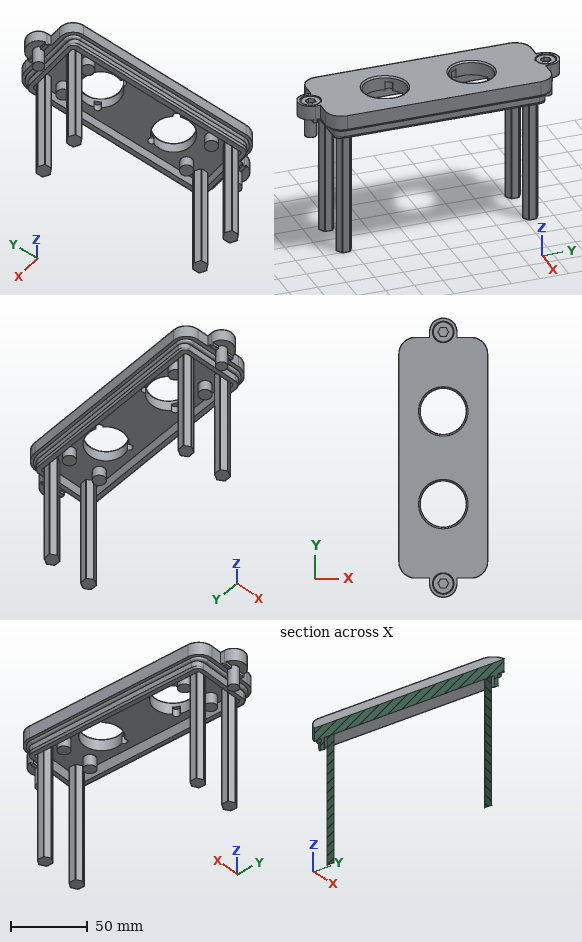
import cadquery as cq
import math


plate_width = 58.0
plate_length = 157.0
plate_thickness = 10.0
plate_corner_radius = 11.1

overall_length = 182.0
lug_width = 18.0
lug_radius = lug_width / 2
lug_y = overall_length / 2 - lug_radius
lug_rib_thickness = 2.5
lug_rib_depth = 2.2

opening_diameter = 30.0
opening_chamfer = 1.1
opening_chamfer_angle = 45
opening_y = 30.2

rim_width = 51.3
rim_length = 146.9
rim_height = 8.5
rim_corner_radius = 5.6
rim_bevel_width = 1.1
rim_bevel_height = 1.6
pocket_width = 42.2
pocket_length = 140.5
pocket_corner_radius = 1.8

boss_diameter = 9.3
boss_x = 13.1
boss_y = 51.3
blind_hole_diameter = 5.1
blind_hole_depth = 6.0
blind_hole_x = boss_x
blind_hole_y = 22.4

seal_cord_radius = 1.6
seal_width = 54.2
seal_length = 152.3
seal_corner_radius = 8.4
seal_z = -11.1

screw_head_diameter = 13.0
screw_head_height = 8.0
screw_recess = 0.5
screw_shank_diameter = 8.0
screw_shank_length = 17.0
socket_across_flats = 6.0
socket_depth = 2.7
counterbore_diameter = 14.0
counterbore_depth = screw_recess + screw_head_height

leg_across_flats = 9.3
leg_across_corners = 10.4
leg_x = 16.0
leg_y = 65.0
leg_top = -plate_thickness
leg_bottom = -105.0

ENDS = (-1, 1)
lug_points = [(0, side * lug_y) for side in ENDS]
opening_points = [(0, side * opening_y) for side in ENDS]


def four_corners(x, y):
    """Points mirrored about both the X and Y axes."""
    return [(sx * x, sy * y) for sx in ENDS for sy in ENDS]


def hexagon_diameter(across_flats):
    """Corner-to-corner diameter of a regular hexagon."""
    return across_flats / math.cos(math.pi / 6)


def rounded_block(width, length, corner_radius, top, height):
    """Block with rounded vertical edges that hangs down from the height top."""
    block = cq.Workplane("XY", origin=(0, 0, top)).rect(width, length).extrude(-height)
    return block.edges("|Z").fillet(corner_radius)


def cylinders(points, diameter, top, depth):
    """Equal upright cylinders that hang down from the height top."""
    base = cq.Workplane("XY", origin=(0, 0, top)).pushPoints(points)
    return base.circle(diameter / 2).extrude(-depth)


def make_lugs(depth):
    """Round-ended lugs on both ends of the plate, from its top face down to a depth."""
    lug_reach = lug_y - opening_y
    round_ends = cylinders(lug_points, lug_width, 0, depth)
    necks = (
        cq.Workplane("XY")
        .pushPoints([(0, side * (lug_y - lug_reach / 2)) for side in ENDS])
        .rect(lug_width, lug_reach)
        .extrude(-depth)
    )
    return round_ends.union(necks)


def make_plate():
    plate = rounded_block(plate_width, plate_length, plate_corner_radius, 0, plate_thickness)
    rib_bottom_depth = plate_thickness + lug_rib_depth
    cross_bars = (
        cq.Workplane("XY")
        .pushPoints(lug_points)
        .rect(plate_width, lug_rib_thickness)
        .extrude(-rib_bottom_depth)
    )
    ribs = make_lugs(rib_bottom_depth).intersect(cross_bars)
    return plate.union(make_lugs(plate_thickness)).union(ribs)


def rim_section(inset):
    """Rounded rectangle of the rim, with its long sides and corner radius reduced by an inset."""
    section = cq.Sketch().rect(rim_width - 2 * inset, rim_length)
    return section.vertices().fillet(rim_corner_radius - inset)


def make_rim():
    straight_height = rim_height - rim_bevel_height
    bevel_top = -(plate_thickness + straight_height)
    straight = rounded_block(rim_width, rim_length, rim_corner_radius, -plate_thickness, straight_height)
    drop = cq.Location(cq.Vector(0, 0, -rim_bevel_height))
    wide = rim_section(0)
    narrow = rim_section(rim_bevel_width).moved(drop)
    bevelled = (
        cq.Workplane("XY", origin=(0, 0, bevel_top))
        .placeSketch(wide, narrow)
        .loft(ruled=True)
    )
    rim = straight.union(bevelled)
    pocket = rounded_block(pocket_width, pocket_length, pocket_corner_radius, -plate_thickness, rim_height)
    return rim.cut(pocket)


def make_cover(seal):
    bosses = cylinders(four_corners(boss_x, boss_y), boss_diameter, -plate_thickness, rim_height)
    cover = make_plate().union(make_rim()).union(bosses)

    openings = cylinders(opening_points, opening_diameter, 0, plate_thickness)
    chamfer_radius = opening_diameter / 2 + opening_chamfer
    chamfer_cones = (
        cq.Workplane("XY")
        .pushPoints(opening_points)
        .circle(chamfer_radius)
        .extrude(-opening_chamfer, taper=opening_chamfer_angle)
    )
    blind_hole_top = blind_hole_depth - plate_thickness
    blind_hole_points = four_corners(blind_hole_x, blind_hole_y)
    blind_holes = cylinders(blind_hole_points, blind_hole_diameter, blind_hole_top, blind_hole_depth)
    counterbores = cylinders(lug_points, counterbore_diameter, 0, counterbore_depth)
    screw_holes = cylinders(lug_points, screw_shank_diameter, 0, plate_thickness + lug_rib_depth)
    for removed in (openings, chamfer_cones, blind_holes, counterbores, screw_holes, seal):
        cover = cover.cut(removed)
    return cover


def make_seal():
    path_width = seal_width - 2 * seal_cord_radius
    path_length = seal_length - 2 * seal_cord_radius
    path_radius = seal_corner_radius - seal_cord_radius
    straight_x = path_width / 2 - path_radius
    straight_y = path_length / 2 - path_radius
    bend = path_radius * math.sin(math.pi / 4)
    path = (
        cq.Workplane("XY", origin=(0, 0, seal_z))
        .moveTo(path_width / 2, 0)
        .lineTo(path_width / 2, straight_y)
        .threePointArc((straight_x + bend, straight_y + bend), (straight_x, path_length / 2))
        .lineTo(0, path_length / 2)
    )
    quarter = (
        cq.Workplane("XZ", origin=(path_width / 2, 0, seal_z))
        .circle(seal_cord_radius)
        .sweep(path)
    )
    half = quarter.union(quarter.mirror("YZ"))
    return half.union(half.mirror("XZ"))


def make_screw(x, y):
    head_top = cq.Workplane("XY", origin=(x, y, -screw_recess))
    head = head_top.circle(screw_head_diameter / 2).extrude(-screw_head_height)
    shank = head_top.circle(screw_shank_diameter / 2).extrude(-(screw_head_height + screw_shank_length))
    socket = head_top.polygon(6, hexagon_diameter(socket_across_flats)).extrude(-socket_depth)
    return head.union(shank).cut(socket)


def make_leg(x, y):
    base = cq.Workplane("XY", origin=(x, y, leg_bottom))
    leg_length = leg_top - leg_bottom
    hexagon = (
        base.transformed(rotate=(0, 0, 90))
        .polygon(6, hexagon_diameter(leg_across_flats))
        .extrude(leg_length)
    )
    envelope = base.circle(leg_across_corners / 2).extrude(leg_length)
    return hexagon.intersect(envelope)


seal = make_seal()
cover = make_cover(seal)
screws = [make_screw(x, y) for x, y in lug_points]
legs = [make_leg(x, y) for x, y in four_corners(leg_x, leg_y)]

result = cq.Compound.makeCompound([
    cover.val(),
    seal.val(),
    *[screw.val() for screw in screws],
    *[leg.val() for leg in legs],
])